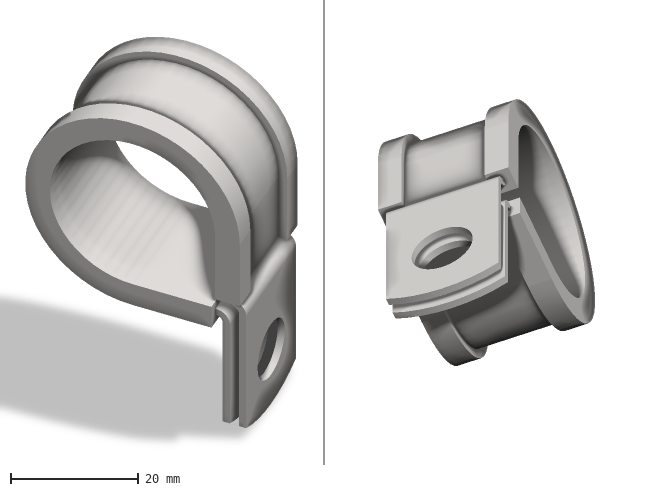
import cadquery as cq
import math

outer_radius = 18.55
cushion_thickness = 4.25
cushion_width = 22.1
upright_leg_end = 12.5
level_leg_end = 13.65

groove_depth = 1.55
groove_width = 14.05
band_thickness = 1.25
band_width = 19.0

overall_length_x = 37.5
overall_height = 59.0
bend_inner_radius = 1.25
jog_start = 12.2
tab_end_rise = 2.1
hole_diameter = 10.3
hole_drop = 29.4

inner_radius = outer_radius - cushion_thickness
band_outer = outer_radius - groove_depth
band_inner = band_outer - band_thickness
bend_outer_radius = bend_inner_radius + band_thickness
tab_bottom = outer_radius - overall_height
outer_tab_x = overall_length_x - outer_radius


def extrude_centred(profile, width):
    """Extrude a closed XZ profile evenly to both sides of the XZ plane."""
    return profile.extrude(width / 2, both=True)


def loop(inner, outer, width):
    """Three-quarter ring whose ends run straight down and straight along +X."""
    diagonal = math.sqrt(0.5)
    profile = (
        cq.Workplane("XZ")
        .moveTo(outer, -upright_leg_end)
        .lineTo(outer, 0)
        .threePointArc((-outer * diagonal, outer * diagonal), (0, -outer))
        .lineTo(level_leg_end, -outer)
        .lineTo(level_leg_end, -inner)
        .lineTo(0, -inner)
        .threePointArc((-inner * diagonal, inner * diagonal), (inner, 0))
        .lineTo(inner, -upright_leg_end)
        .close()
    )
    return extrude_centred(profile, width)


def bent_tab():
    """Tab that turns down from the end of the level leg."""
    bend_bottom = -band_inner - bend_outer_radius
    profile = (
        cq.Workplane("XZ")
        .moveTo(level_leg_end, -band_inner)
        .radiusArc((level_leg_end + bend_outer_radius, bend_bottom), bend_outer_radius)
        .lineTo(level_leg_end + bend_outer_radius, tab_bottom)
        .lineTo(level_leg_end + bend_inner_radius, tab_bottom)
        .lineTo(level_leg_end + bend_inner_radius, bend_bottom)
        .radiusArc((level_leg_end, -band_outer), -bend_inner_radius)
        .close()
    )
    return extrude_centred(profile, band_width)


def jogged_tab():
    """Tab that steps outward below the upright leg through two equal, opposite bends."""
    mean_radius = (bend_inner_radius + bend_outer_radius) / 2
    shift = outer_tab_x - band_outer
    angle = math.acos(1 - shift / (2 * mean_radius))
    jog_bottom = -jog_start - 2 * mean_radius * math.sin(angle)
    first_centre_x = band_outer + bend_inner_radius
    second_centre_x = outer_tab_x - bend_outer_radius

    def first_bend_end(radius):
        return (first_centre_x - radius * math.cos(angle), -jog_start - radius * math.sin(angle))

    def second_bend_start(radius):
        return (second_centre_x + radius * math.cos(angle), jog_bottom + radius * math.sin(angle))

    profile = (
        cq.Workplane("XZ")
        .moveTo(band_outer, -jog_start)
        .radiusArc(first_bend_end(bend_inner_radius), -bend_inner_radius)
        .radiusArc((outer_tab_x, jog_bottom), bend_outer_radius)
        .lineTo(outer_tab_x, tab_bottom)
        .lineTo(outer_tab_x - band_thickness, tab_bottom)
        .lineTo(outer_tab_x - band_thickness, jog_bottom)
        .radiusArc(second_bend_start(bend_inner_radius), -bend_inner_radius)
        .radiusArc((band_inner, -jog_start), bend_outer_radius)
        .close()
    )
    return extrude_centred(profile, band_width)


def tab_outline():
    """Block along X that trims both tabs to a curved lower end."""
    half_width = band_width / 2
    corner_z = tab_bottom + tab_end_rise
    return (
        cq.Workplane("YZ")
        .moveTo(-half_width, 0)
        .lineTo(-half_width, corner_z)
        .threePointArc((0, tab_bottom), (half_width, corner_z))
        .lineTo(half_width, 0)
        .close()
        .extrude(overall_length_x)
    )


def bolt_hole():
    """Cylinder along X through both tabs."""
    return (
        cq.Workplane("YZ")
        .center(0, -hole_drop)
        .circle(hole_diameter / 2)
        .extrude(overall_length_x)
    )


cushion = loop(inner_radius, outer_radius, cushion_width)
groove = loop(band_outer, outer_radius, groove_width)
tabs = bent_tab().union(jogged_tab()).intersect(tab_outline()).cut(bolt_hole())

result = cushion.cut(groove).union(tabs)